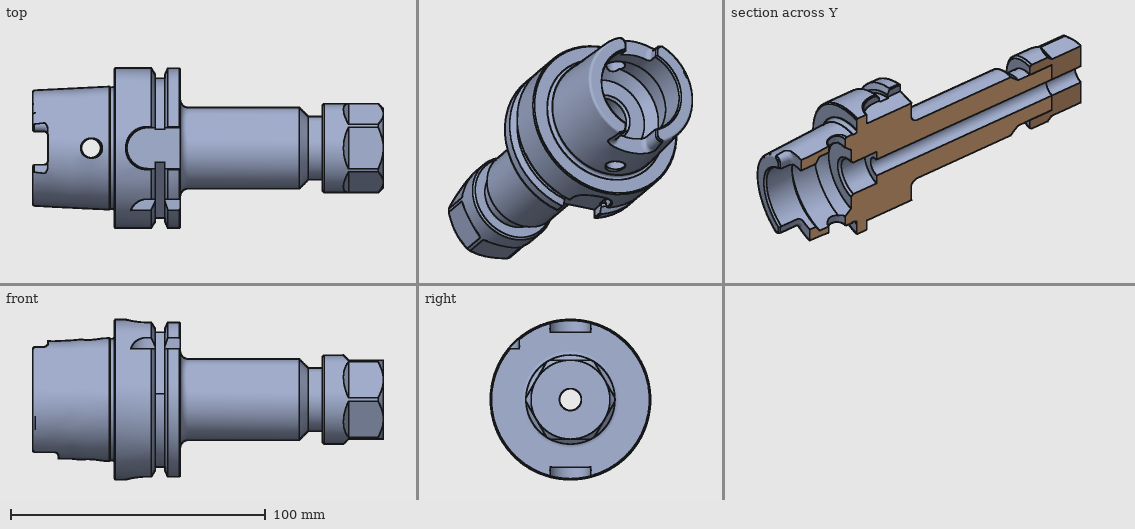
import cadquery as cq
import math


taper_length = 32.0
taper_rate = 1 / 9.98
gauge_dia = 48.01
gauge_x = -6.3
rim_round = 1.0
relief_start_x = -1.9
relief_radius = 23.95
relief_fillet = 0.95
seat_recess_radius = 25.4
seat_recess_depth = 0.2

flange_radius = 31.5
flange_length = 26.0
flange_chamfer = 0.5
groove_start = 16.125
groove_end = 19.875
groove_radius = 27.5
groove_wall_radius = 28.9
groove_front_flare = 1.65
groove_back_flare = 1.2

neck_radius = 16.0
neck_fillet = 3.0
neck_end = 72.65
nose_radius = 12.5
nose_end = 92.0

taper_bore_radius = 17.0
taper_bore_chamfer = 0.5
taper_bore_chamfer_length = 1.0
taper_bore_depth = 13.0
chamber_radius = 40 / 2
chamber_flare_angle = 60.0
bore_floor_radius = 31.75 / 2
bore_floor_x = -2.5
thread_radius = 16.92 / 2
thread_mouth_radius = 19.02 / 2
thread_depth = 12.0
through_dia = 8.5

slot_half_width = 6.5
slot_wall_top = 18.1
slot_lip_round = 2.6
slot_end_fillet = 1.7
top_slot_depth = 6.0
bottom_slot_depth = 10.1
slot_inner_z = 10.0
slot_top_z = 26.0
slot_front_chamfer = 0.6

radial_hole_dia = 7.5
radial_hole_mouth_dia = 8.5
radial_hole_x = -9.1

keyway_centre_x = 13.0
keyway_half_width = 8.0
keyway_floor = 26.5
keyway_chamfer = 0.5
notch_wall = 20.0
notch_end_radius = 7.0
flat_distance = 21.9
flat_angle = 48.0

nut_start = 81.6
nut_end = 105.66
nut_radius = 17.5
nut_back_chamfer = 0.8
nut_front_chamfer = 2.0
hex_half_flats = 15.5
hex_start = 92.0
hex_sides = 6

clearance = 5.0


def taper_radius(x):
    return (gauge_dia + (x - gauge_x) * taper_rate) / 2


def turned(outline):
    """Revolve an outline in (x, radius) about the X axis."""
    return outline.close().revolve(360, (0, 0, 0), (1, 0, 0))


def x_cylinder(radius, start, end):
    return cq.Workplane("YZ").workplane(offset=start).circle(radius).extrude(end - start)


def make_outer_body():
    nose_cone_end = neck_end + neck_radius - nose_radius
    fillet_mid = neck_fillet * (1 - math.sqrt(0.5))
    relief_mid = relief_fillet * (1 - math.sqrt(0.5))
    relief_step = taper_radius(relief_start_x) - relief_radius
    recess_x = seat_recess_depth
    outline = (
        cq.Workplane("XY")
        .moveTo(-taper_length, 0)
        .lineTo(-taper_length, taper_radius(-taper_length))
        .lineTo(relief_start_x, taper_radius(relief_start_x))
        .lineTo(relief_start_x + relief_step, relief_radius)
        .lineTo(recess_x - relief_fillet, relief_radius)
        .threePointArc(
            (recess_x - relief_mid, relief_radius + relief_mid),
            (recess_x, relief_radius + relief_fillet),
        )
        .lineTo(recess_x, seat_recess_radius)
        .lineTo(0, seat_recess_radius)
        .lineTo(0, flange_radius - flange_chamfer)
        .lineTo(flange_chamfer, flange_radius)
        .lineTo(flange_length - flange_chamfer, flange_radius)
        .lineTo(flange_length, flange_radius - flange_chamfer)
        .lineTo(flange_length, neck_radius + neck_fillet)
        .threePointArc(
            (flange_length + fillet_mid, neck_radius + fillet_mid),
            (flange_length + neck_fillet, neck_radius),
        )
        .lineTo(neck_end, neck_radius)
        .lineTo(nose_cone_end, nose_radius)
        .lineTo(nose_end, nose_radius)
        .lineTo(nose_end, 0)
    )
    return turned(outline)


def make_keyway(side):
    """Round-ended keyway open at the back of the flange; side is +1 for +Z, -1 for -Z."""
    reach = flange_length + clearance
    plan = (
        cq.Workplane("XY", origin=(0, 0, side * keyway_floor))
        .moveTo(reach, keyway_half_width)
        .lineTo(keyway_centre_x, keyway_half_width)
        .threePointArc(
            (keyway_centre_x - keyway_half_width, 0), (keyway_centre_x, -keyway_half_width)
        )
        .lineTo(reach, -keyway_half_width)
        .close()
    )
    return plan.extrude(side * flange_radius)


def keyway_rim(side):
    """Selects the edges where a keyway breaks out through the flange rim."""
    front = keyway_centre_x - keyway_half_width - 1
    heights = sorted((side * (keyway_floor + 1), side * (flange_radius + 1)))
    return cq.selectors.BoxSelector(
        (front, -keyway_half_width - 1, heights[0]),
        (flange_length - flange_chamfer - 1, keyway_half_width + 1, heights[1]),
    )


def make_notch():
    """Square-cornered notch at -Y +Z with a rounded front end."""
    reach = flange_length + clearance
    plan = (
        cq.Workplane("XY", origin=(0, 0, notch_wall))
        .moveTo(reach, -notch_wall)
        .lineTo(keyway_centre_x, -notch_wall)
        .threePointArc(
            (keyway_centre_x - notch_end_radius, -notch_wall - notch_end_radius),
            (keyway_centre_x, -notch_wall - 2 * notch_end_radius),
        )
        .lineTo(reach, -notch_wall - 2 * notch_end_radius)
        .close()
    )
    return plan.extrude(flange_radius)


def make_gripper_groove():
    rim = flange_radius + clearance
    outline = (
        cq.Workplane("XY")
        .moveTo(groove_start - groove_front_flare, rim)
        .lineTo(groove_start - groove_front_flare, flange_radius)
        .lineTo(groove_start, groove_wall_radius)
        .lineTo(groove_start, groove_radius)
        .lineTo(groove_end, groove_radius)
        .lineTo(groove_end, groove_wall_radius)
        .lineTo(groove_end + groove_back_flare, flange_radius)
        .lineTo(groove_end + groove_back_flare, rim)
    )
    return turned(outline)


def make_groove_flat():
    flat = (
        cq.Workplane("XY")
        .box(groove_end - groove_start, 2 * flange_radius, flange_radius, centered=(False, True, False))
        .translate((groove_start, 0, flat_distance))
    )
    return flat.rotate((0, 0, 0), (1, 0, 0), flat_angle)


def make_bore():
    straight_end = taper_bore_depth - taper_length
    flare_length = (chamber_radius - taper_bore_radius) / math.tan(math.radians(chamber_flare_angle))
    floor_cone = chamber_radius - bore_floor_radius
    thread_chamfer = thread_mouth_radius - thread_radius
    thread_end = bore_floor_x + thread_depth
    outline = (
        cq.Workplane("XY")
        .moveTo(-taper_length, 0)
        .lineTo(-taper_length, taper_bore_radius + taper_bore_chamfer)
        .lineTo(-taper_length + taper_bore_chamfer_length, taper_bore_radius)
        .lineTo(straight_end, taper_bore_radius)
        .lineTo(straight_end + flare_length, chamber_radius)
        .lineTo(bore_floor_x - floor_cone, chamber_radius)
        .lineTo(bore_floor_x, bore_floor_radius)
        .lineTo(bore_floor_x, thread_mouth_radius)
        .lineTo(bore_floor_x + thread_chamfer, thread_radius)
        .lineTo(thread_end, thread_radius)
        .lineTo(thread_end, 0)
    )
    return turned(outline)


def draw_slot_profile(plane, growth=0):
    """Add a slot outline whose walls are moved outwards by growth."""
    wall_y = slot_half_width + growth
    lip_round = slot_lip_round - growth
    lip_y = wall_y + lip_round
    lip_z = slot_wall_top + lip_round
    mid = lip_round * math.sqrt(0.5)
    side_y = lip_y + clearance
    return (
        plane.moveTo(-wall_y, slot_inner_z)
        .lineTo(-wall_y, slot_wall_top)
        .threePointArc((-lip_y + mid, slot_wall_top + mid), (-lip_y, lip_z))
        .lineTo(-side_y, lip_z)
        .lineTo(-side_y, slot_top_z)
        .lineTo(side_y, slot_top_z)
        .lineTo(side_y, lip_z)
        .lineTo(lip_y, lip_z)
        .threePointArc((lip_y - mid, slot_wall_top + mid), (wall_y, slot_wall_top))
        .lineTo(wall_y, slot_inner_z)
        .close()
    )


def make_drive_slot(depth):
    """Slot at +Z with rounded lips, a filleted inner end and chamfered front edges."""
    end_x = depth - taper_length
    slot = draw_slot_profile(cq.Workplane("YZ", origin=(-taper_length, 0, 0))).extrude(depth)
    side_y = slot_half_width + slot_lip_round + clearance
    end_walls = cq.selectors.BoxSelector(
        (end_x - 1, -side_y + 1, slot_inner_z + 1),
        (end_x + 1, side_y - 1, slot_top_z - 1),
    )
    slot = slot.edges(end_walls).fillet(slot_end_fillet)

    front = cq.Workplane("YZ", origin=(-taper_length, 0, 0))
    flare = draw_slot_profile(front, slot_front_chamfer)
    flare = draw_slot_profile(flare.workplane(offset=slot_front_chamfer)).loft(ruled=True)
    return slot.union(flare)


def make_radial_hole(side):
    """Countersunk hole through the taper wall; side is +1 for +Z, -1 for -Z."""
    hole_radius = radial_hole_dia / 2
    flare = (radial_hole_mouth_dia - radial_hole_dia) / 2
    rim = taper_radius(radial_hole_x)
    outline = (
        cq.Workplane("XZ")
        .lineTo(hole_radius, 0)
        .lineTo(hole_radius, rim - flare)
        .lineTo(hole_radius + 2 * flare, rim + flare)
        .lineTo(0, rim + flare)
        .close()
    )
    hole = outline.revolve(360, (0, 0, 0), (0, 1, 0))
    if side < 0:
        hole = hole.rotate((0, 0, 0), (1, 0, 0), 180)
    return hole.translate((radial_hole_x, 0, 0))


def make_holder():
    body = make_outer_body()
    for side in (1, -1):
        body = body.cut(make_radial_hole(side)).cut(make_keyway(side))
        body = body.edges(keyway_rim(side)).chamfer(keyway_chamfer)
    body = body.cut(make_notch())
    body = body.cut(make_gripper_groove()).cut(make_groove_flat())

    body = body.faces("<X").edges().fillet(rim_round)
    top_slot = make_drive_slot(top_slot_depth)
    bottom_slot = make_drive_slot(bottom_slot_depth).rotate((0, 0, 0), (1, 0, 0), 180)
    body = body.cut(top_slot).cut(bottom_slot)
    body = body.cut(make_bore())
    return body.cut(x_cylinder(through_dia / 2, -taper_length, nose_end))


def make_nut():
    outline = (
        cq.Workplane("XY")
        .moveTo(nut_start, 0)
        .lineTo(nut_start, nut_radius - nut_back_chamfer)
        .lineTo(nut_start + nut_back_chamfer, nut_radius)
        .lineTo(nut_end - nut_front_chamfer, nut_radius)
        .lineTo(nut_end, nut_radius - nut_front_chamfer)
        .lineTo(nut_end, 0)
    )
    nut = turned(outline)

    ramp = nut_radius - hex_half_flats
    flat_cut = (
        cq.Workplane("XZ")
        .moveTo(nut_end, hex_half_flats)
        .lineTo(hex_start, hex_half_flats)
        .lineTo(hex_start - ramp, nut_radius)
        .lineTo(nut_end, nut_radius)
        .close()
        .extrude(nut_radius, both=True)
    )
    for i in range(hex_sides):
        nut = nut.cut(flat_cut.rotate((0, 0, 0), (1, 0, 0), i * 360 / hex_sides))

    nut = nut.cut(x_cylinder(nose_radius, nut_start, nose_end))
    return nut.cut(x_cylinder(through_dia / 2, nut_start, nut_end))


holder = make_holder()
nut = make_nut()

result = cq.Compound.makeCompound([holder.val(), nut.val()])